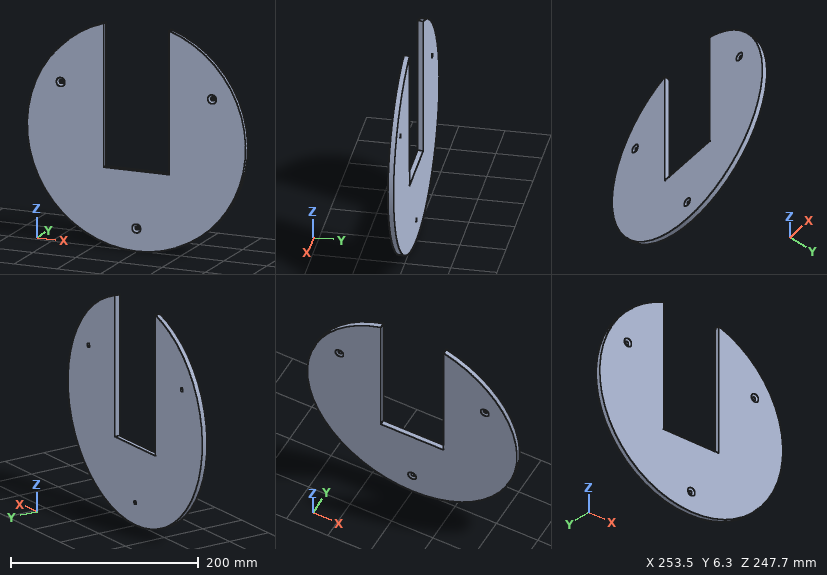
import cadquery as cq

disc_diameter = 253.5
thickness = 6.3

slot_width = 75.8
slot_floor_z = -slot_width / 2

hole_count = 3
hole_circle_radius = 101.5
first_hole_angle = -90.0
hole_diameter = 4.0
countersink_diameter = 10.0
countersink_angle = 120.0


def make_disc():
    """Disc with its front face at Y = 0."""
    return cq.Workplane("XZ").circle(disc_diameter / 2).extrude(-thickness)


def cut_slot(body):
    """Cut the slot from its floor up through the rim."""
    slot_height = disc_diameter / 2 - slot_floor_z
    slot = cq.Workplane("XY").box(slot_width, thickness, slot_height, centered=(True, False, False))
    return body.cut(slot.translate((0, 0, slot_floor_z)))


def cut_screw_holes(body):
    """Drill the screw holes with countersinks on the front face."""
    return (
        body.copyWorkplane(cq.Workplane("XZ"))
        .polarArray(hole_circle_radius, first_hole_angle, 360, hole_count)
        .cskHole(hole_diameter, countersink_diameter, countersink_angle)
    )


result = cut_screw_holes(cut_slot(make_disc()))